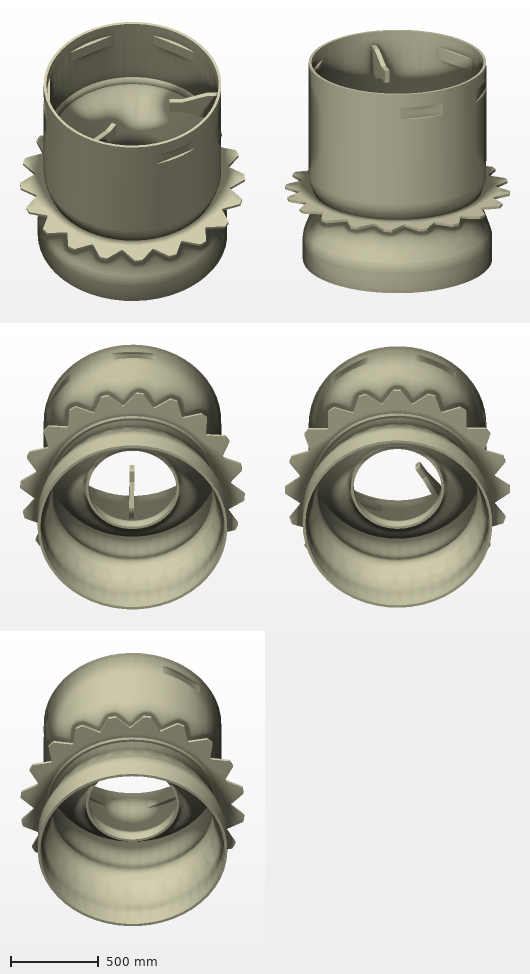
import cadquery as cq
import math

TOTAL_HEIGHT = 1200.0
BARREL_OUTER_R = 1011.0 / 2
BARREL_INNER_R = 980.0 / 2
SKIRT_OUTER_R = 1080.0 / 2
WALL = BARREL_OUTER_R - BARREL_INNER_R
SKIRT_HEIGHT = 126.0
BARREL_BASE_Z = 523.0
WAIST_ANGLE = math.radians(20)
BEND_R = 154.0

WINDOW_ANGLES = (0, 120, 180, 240)
WINDOW_HEIGHT = 71.0
WINDOW_MID_Z = 1085.0
FLAT_OUTER_X = BARREL_INNER_R
FLAT_THICKNESS = 20.0

RIB_ANGLES = (60, -60)
RIB_THICKNESS = 28.0
RIB_MID_Z = 1033.0
RIB_TIP_R = 211.0
RIB_TIP_LAND_R = 279.0
RIB_ROOT_LAND_R = 421.0
RIB_TIP_HEIGHT = 74.0
RIB_ROOT_HEIGHT = 178.0

FUNNEL_INNER_R = 500.0 / 2
FUNNEL_OUTER_R = 530.0 / 2
FUNNEL_WALL = FUNNEL_OUTER_R - FUNNEL_INNER_R
FUNNEL_ANGLE = math.radians(45)
FUNNEL_BEND_R = 76.0
FUNNEL_TOP_Z = 739.0
SPOUT_LENGTH = 51.0
BEAD_R = 40.0

TOOTH_COUNT = 20
SPROCKET_BORE_R = 960.0 / 2
SPROCKET_TOP_Z = 426.0
SPROCKET_THICKNESS = 15.0
VALLEY_R = 556.0
TIP_R = 640.0
TIP_HALF_WIDTH = 22.0
TIP_FILLET = 8.0
VALLEY_FILLET = 8.0
COLLAR_OUTER_R = 495.0
COLLAR_HEIGHT = 10.0
COLLAR_CHAMFER = 9.5


def shell_line(inset):
    """Bend points, bottom to top, of the shell surface `inset` inside its outer face.

    All bends turn concentric with the outer face, so inset points shift along its normal.
    """
    tangent = BEND_R * math.tan(WAIST_ANGLE / 2)
    run = tangent * math.sin(WAIST_ANGLE)
    rise = tangent * math.cos(WAIST_ANGLE)
    inset_r = inset * math.cos(WAIST_ANGLE)
    inset_z = inset * math.sin(WAIST_ANGLE)

    skirt_corner_z = SKIRT_HEIGHT + tangent
    barrel_corner_z = BARREL_BASE_Z - tangent
    slope = math.tan(WAIST_ANGLE)
    waist_z = (skirt_corner_z + barrel_corner_z + (SKIRT_OUTER_R - BARREL_OUTER_R) / slope) / 2
    waist_r = SKIRT_OUTER_R - (waist_z - skirt_corner_z) * slope
    waist_tangent = (BEND_R - WALL) * math.tan(WAIST_ANGLE)
    waist_run = waist_tangent * math.sin(WAIST_ANGLE)
    waist_rise = waist_tangent * math.cos(WAIST_ANGLE)
    return [
        (SKIRT_OUTER_R - inset, 0),
        (SKIRT_OUTER_R - inset, SKIRT_HEIGHT),
        (SKIRT_OUTER_R - run - inset_r, skirt_corner_z + rise - inset_z),
        (waist_r + waist_run - inset_r, waist_z - waist_rise - inset_z),
        (waist_r + waist_run - inset_r, waist_z + waist_rise + inset_z),
        (BARREL_OUTER_R - run - inset_r, barrel_corner_z - rise + inset_z),
        (BARREL_OUTER_R - inset, BARREL_BASE_Z),
        (BARREL_OUTER_R - inset, TOTAL_HEIGHT),
    ]


def shell_solid(inset):
    """Solid of revolution bounded by the shell surface at `inset`."""
    line = shell_line(inset)
    profile = cq.Workplane("XZ").moveTo(0, 0).lineTo(*line[0])
    for straight_end, bend_end in zip(line[1:-1:2], line[2:-1:2]):
        profile = profile.lineTo(*straight_end).tangentArcPoint(bend_end, relative=False)
    profile = profile.lineTo(*line[-1]).lineTo(0, TOTAL_HEIGHT).close()
    return profile.revolve(360, (0, 0, 0), (0, 1, 0))


def add_flat_window(body, angle):
    """Cut the wall back to a flat and back the flat with a pad inside the bore."""
    depth = BARREL_OUTER_R - FLAT_OUTER_X
    width = 2 * BARREL_OUTER_R
    recess = (
        cq.Workplane("XY")
        .box(2 * depth, width, WINDOW_HEIGHT, centered=(False, True, True))
        .translate((FLAT_OUTER_X, 0, WINDOW_MID_Z))
        .rotate((0, 0, 0), (0, 0, 1), angle)
    )
    pad_disc = (
        cq.Workplane("XY")
        .workplane(offset=WINDOW_MID_Z - WINDOW_HEIGHT / 2)
        .circle((BARREL_OUTER_R + BARREL_INNER_R) / 2)
        .extrude(WINDOW_HEIGHT)
    )
    pad = (
        cq.Workplane("XY")
        .box(FLAT_THICKNESS, width, WINDOW_HEIGHT, centered=(False, True, True))
        .translate((FLAT_OUTER_X - FLAT_THICKNESS, 0, WINDOW_MID_Z))
        .rotate((0, 0, 0), (0, 0, 1), angle)
        .intersect(pad_disc)
    )
    return body.union(pad).cut(recess)


def make_shell():
    """Open sheet shell with its flattened windows."""
    body = shell_solid(0).cut(shell_solid(WALL))
    for angle in WINDOW_ANGLES:
        body = add_flat_window(body, angle)
    return body


def make_rib(angle):
    """Plate standing on the bore, tapering evenly above and below towards its tip."""
    upper = [
        (RIB_TIP_R, RIB_TIP_HEIGHT / 2),
        (RIB_TIP_LAND_R, RIB_TIP_HEIGHT / 2),
        (RIB_ROOT_LAND_R, RIB_ROOT_HEIGHT / 2),
        (BARREL_OUTER_R, RIB_ROOT_HEIGHT / 2),
    ]
    lower = [(r, -z) for r, z in reversed(upper)]
    bore = cq.Workplane("XY").circle(BARREL_INNER_R).extrude(TOTAL_HEIGHT)
    return (
        cq.Workplane("XZ")
        .polyline(upper + lower)
        .close()
        .extrude(RIB_THICKNESS / 2, both=True)
        .translate((0, 0, RIB_MID_Z))
        .intersect(bore)
        .rotate((0, 0, 0), (0, 0, 1), angle)
    )


def funnel_line(inset):
    """Points, top to bottom, of the funnel surface `inset` outside its inner face."""
    slope = math.tan(FUNNEL_ANGLE)
    bend_r = FUNNEL_BEND_R - inset
    rim_r = BARREL_INNER_R - (FUNNEL_WALL - inset) / math.cos(FUNNEL_ANGLE)
    bend_top_r = FUNNEL_INNER_R + inset + bend_r * (1 - math.cos(FUNNEL_ANGLE))
    bend_top_z = FUNNEL_TOP_Z - (rim_r - bend_top_r) / slope
    bend_base_z = bend_top_z - bend_r * math.sin(FUNNEL_ANGLE)
    return [
        (rim_r, FUNNEL_TOP_Z),
        (bend_top_r, bend_top_z),
        (FUNNEL_INNER_R + inset, bend_base_z),
    ]


def make_funnel():
    """Cone hung from the bore, bending into a short spout."""
    inner_rim, inner_bend, inner_spout = funnel_line(0)
    outer_rim, outer_bend, outer_spout = funnel_line(FUNNEL_WALL)
    spout_end_z = inner_spout[1] - SPOUT_LENGTH
    return (
        cq.Workplane("XZ")
        .moveTo(*inner_rim)
        .lineTo(*inner_bend)
        .tangentArcPoint(inner_spout, relative=False)
        .lineTo(FUNNEL_INNER_R, spout_end_z)
        .lineTo(FUNNEL_OUTER_R, spout_end_z)
        .lineTo(*outer_spout)
        .radiusArc(outer_bend, FUNNEL_BEND_R - FUNNEL_WALL)
        .lineTo(*outer_rim)
        .close()
        .revolve(360, (0, 0, 0), (0, 1, 0))
    )


def make_rim_bead():
    """Rounded bead filling the corner between the funnel's top edge and the bore."""
    inner_r = BARREL_INNER_R - FUNNEL_WALL / math.cos(FUNNEL_ANGLE)
    depth_into_wall = inner_r + BEAD_R - BARREL_INNER_R
    bead_height = math.sqrt(BEAD_R**2 - depth_into_wall**2)
    return (
        cq.Workplane("XZ")
        .moveTo(BARREL_INNER_R, FUNNEL_TOP_Z)
        .lineTo(inner_r, FUNNEL_TOP_Z)
        .radiusArc((BARREL_INNER_R, FUNNEL_TOP_Z + bead_height), BEAD_R)
        .close()
        .revolve(360, (0, 0, 0), (0, 1, 0))
    )


def axis_distance(edge):
    """Distance of an upright edge from the Z axis."""
    return math.hypot(edge.Center().x, edge.Center().y)


def make_sprocket():
    """Thin toothed plate round the waist; a valley lies on the +X axis."""
    pitch = 2 * math.pi / TOOTH_COUNT
    tip_half_angle = math.atan2(TIP_HALF_WIDTH, TIP_R)
    tip_corner_r = math.hypot(TIP_R, TIP_HALF_WIDTH)
    outline = []
    for tooth in range(TOOTH_COUNT):
        valley = tooth * pitch
        middle = valley + pitch / 2
        corners = [
            (VALLEY_R, valley),
            (tip_corner_r, middle - tip_half_angle),
            (tip_corner_r, middle + tip_half_angle),
        ]
        outline += [(r * math.cos(a), r * math.sin(a)) for r, a in corners]
    plate = cq.Workplane("XY").polyline(outline).close().extrude(SPROCKET_THICKNESS)
    split_r = (VALLEY_R + TIP_R) / 2
    tips = [edge for edge in plate.edges("|Z").vals() if axis_distance(edge) > split_r]
    plate = plate.newObject(tips).fillet(TIP_FILLET)
    valleys = [edge for edge in plate.edges("|Z").vals() if axis_distance(edge) < split_r]
    plate = plate.newObject(valleys).fillet(VALLEY_FILLET)
    bore = cq.Workplane("XY").circle(SPROCKET_BORE_R).extrude(SPROCKET_THICKNESS)
    plate = plate.cut(bore).translate((0, 0, SPROCKET_TOP_Z - SPROCKET_THICKNESS))
    return plate.cut(shell_solid(0))


def make_collar():
    """Chamfered ring under the sprocket, fitted round the waist."""
    return (
        cq.Workplane("XY")
        .workplane(offset=SPROCKET_TOP_Z - SPROCKET_THICKNESS - COLLAR_HEIGHT)
        .circle(COLLAR_OUTER_R)
        .extrude(COLLAR_HEIGHT)
        .faces("<Z")
        .edges()
        .chamfer(COLLAR_CHAMFER)
        .cut(shell_solid(0))
    )


shell = make_shell()
ribs = [make_rib(angle) for angle in RIB_ANGLES]
funnel = make_funnel()
rim_bead = make_rim_bead()
sprocket = make_sprocket()
collar = make_collar()
bodies = [shell, funnel, rim_bead, sprocket, collar, *ribs]
result = cq.Compound.makeCompound([body.solids().val() for body in bodies])